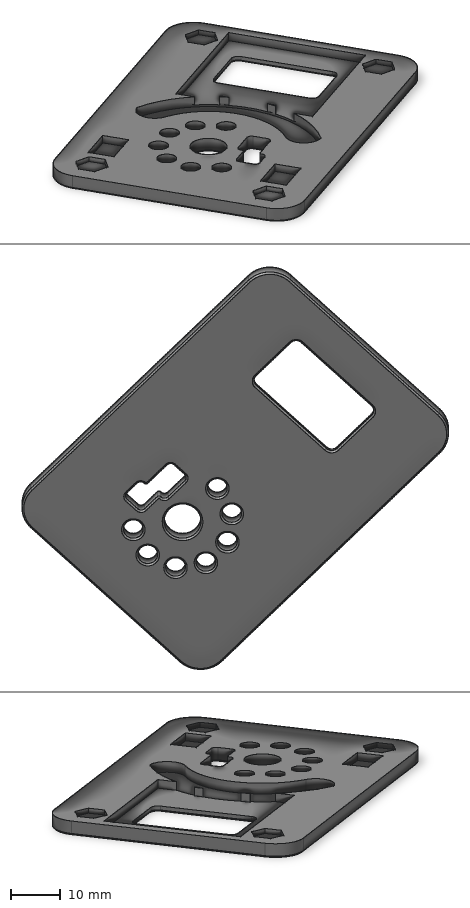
import cadquery as cq
import math

PLATE_WIDTH = 53.7
PLATE_LENGTH = 75.05
PLATE_THICKNESS = 3.0
CORNER_RADIUS = 6.0
BOTTOM_CHAMFER = 0.4

NUT_ACROSS_FLATS = 6.0
NUT_DEPTH = 1.05
NUT_SPACING_X = 38.1
NUT_SPACING_Y = 62.4

DISPLAY_WIDTH = 29.4
DISPLAY_TOP = 35.2
DISPLAY_BOTTOM = 5.1
DISPLAY_DEPTH = 1.8
TAB_WIDTH = 12.0
TAB_TOP = 7.35
WINDOW_WIDTH = 22.7
WINDOW_HEIGHT = 13.0
WINDOW_CENTER_Y = 22.75
WINDOW_CORNER_RADIUS = 1.5

DIAL_CENTER_Y = -15.2
SHAFT_HOLE_DIAMETER = 7.4
RING_HOLE_DIAMETER = 4.0
RING_RADIUS = 10.05
RING_POSITIONS = 10
RING_START_ANGLE = 18.0
SKIPPED_POSITIONS = (0, 1, 9)
SLOT_OUTER_RADIUS = 23.0
SLOT_INNER_RADIUS = 16.1
SLOT_OUTER_END_ANGLE = 30.4
SLOT_INNER_END_ANGLE = 36.0
SLOT_TIP_RADIUS = 19.0
SLOT_TIP_ANGLE = 25.5
SLOT_DEPTH = 2.25

SWITCH_LEG_WIDTH = 4.95
SWITCH_LEFT = 5.8
SWITCH_STEP = 1.6
SWITCH_TOP = -7.65
SWITCH_LEFT_STEP_Y = -14.5
SWITCH_RIGHT_STEP_Y = -14.7
SWITCH_BOTTOM = -19.6
SWITCH_CORNER_RADIUS = 1.0
SWITCH_INNER_RADIUS = 0.45

POCKET_WIDTH = 5.55
POCKET_LENGTH = 8.3
POCKET_CENTERS_X = (-18.9, 18.15)
POCKET_CENTER_Y = -22.2
POCKET_DEPTH = 1.65


def top_sketch():
    return cq.Workplane("XY").workplane(offset=PLATE_THICKNESS)


def dial_point(radius, angle_degrees):
    angle = math.radians(angle_degrees)
    return (radius * math.cos(angle), DIAL_CENTER_Y + radius * math.sin(angle))


def mirrored(point):
    return (-point[0], point[1])


def plate():
    body = cq.Workplane("XY").rect(PLATE_WIDTH, PLATE_LENGTH).extrude(PLATE_THICKNESS)
    return body.edges("|Z").fillet(CORNER_RADIUS)


def nut_pockets():
    across_corners = NUT_ACROSS_FLATS / math.cos(math.radians(30))
    centers = top_sketch().rect(NUT_SPACING_X, NUT_SPACING_Y, forConstruction=True).vertices()
    return centers.polygon(6, across_corners).extrude(-NUT_DEPTH)


def display_recess():
    half_width = DISPLAY_WIDTH / 2
    half_tab = TAB_WIDTH / 2
    outline = [
        (-half_width, DISPLAY_TOP),
        (half_width, DISPLAY_TOP),
        (half_width, DISPLAY_BOTTOM),
        (half_tab, DISPLAY_BOTTOM),
        (half_tab, TAB_TOP),
        (-half_tab, TAB_TOP),
        (-half_tab, DISPLAY_BOTTOM),
        (-half_width, DISPLAY_BOTTOM),
    ]
    return top_sketch().polyline(outline).close().extrude(-DISPLAY_DEPTH)


def display_window():
    opening = top_sketch().center(0, WINDOW_CENTER_Y).rect(WINDOW_WIDTH, WINDOW_HEIGHT)
    return opening.extrude(-PLATE_THICKNESS).edges("|Z").fillet(WINDOW_CORNER_RADIUS)


def curved_slot():
    outer_end = dial_point(SLOT_OUTER_RADIUS, SLOT_OUTER_END_ANGLE)
    inner_end = dial_point(SLOT_INNER_RADIUS, SLOT_INNER_END_ANGLE)
    tip = dial_point(SLOT_TIP_RADIUS, SLOT_TIP_ANGLE)
    outline = (
        top_sketch()
        .moveTo(*mirrored(outer_end))
        .threePointArc(dial_point(SLOT_OUTER_RADIUS, 90), outer_end)
        .threePointArc(tip, inner_end)
        .threePointArc(dial_point(SLOT_INNER_RADIUS, 90), mirrored(inner_end))
        .threePointArc(mirrored(tip), mirrored(outer_end))
        .close()
    )
    return outline.extrude(-SLOT_DEPTH)


def dial_holes():
    step = 360 / RING_POSITIONS
    positions = [
        dial_point(RING_RADIUS, RING_START_ANGLE + index * step)
        for index in range(RING_POSITIONS)
        if index not in SKIPPED_POSITIONS
    ]
    ring = top_sketch().pushPoints(positions).circle(RING_HOLE_DIAMETER / 2)
    shaft = top_sketch().center(0, DIAL_CENTER_Y).circle(SHAFT_HOLE_DIAMETER / 2)
    return ring.extrude(-PLATE_THICKNESS).union(shaft.extrude(-PLATE_THICKNESS))


def switch_opening():
    upper_right = SWITCH_LEFT + SWITCH_LEG_WIDTH
    lower_left = SWITCH_LEFT + SWITCH_STEP
    lower_right = lower_left + SWITCH_LEG_WIDTH
    outline = [
        (SWITCH_LEFT, SWITCH_TOP),
        (upper_right, SWITCH_TOP),
        (upper_right, SWITCH_RIGHT_STEP_Y),
        (lower_right, SWITCH_RIGHT_STEP_Y),
        (lower_right, SWITCH_BOTTOM),
        (lower_left, SWITCH_BOTTOM),
        (lower_left, SWITCH_LEFT_STEP_Y),
        (SWITCH_LEFT, SWITCH_LEFT_STEP_Y),
    ]
    opening = top_sketch().polyline(outline).close().extrude(-PLATE_THICKNESS)
    outer_corners = "<X or >X or <Y or >Y"
    opening = opening.edges(f"|Z and (not ({outer_corners}))").fillet(SWITCH_INNER_RADIUS)
    return opening.edges(f"|Z and ({outer_corners})").fillet(SWITCH_CORNER_RADIUS)


def rectangular_pockets():
    centers = [(x, POCKET_CENTER_Y) for x in POCKET_CENTERS_X]
    return top_sketch().pushPoints(centers).rect(POCKET_WIDTH, POCKET_LENGTH).extrude(-POCKET_DEPTH)


result = plate()
for cutter in (
    nut_pockets(),
    display_recess(),
    display_window(),
    curved_slot(),
    dial_holes(),
    switch_opening(),
    rectangular_pockets(),
):
    result = result.cut(cutter)
result = result.faces("<Z").chamfer(BOTTOM_CHAMFER)